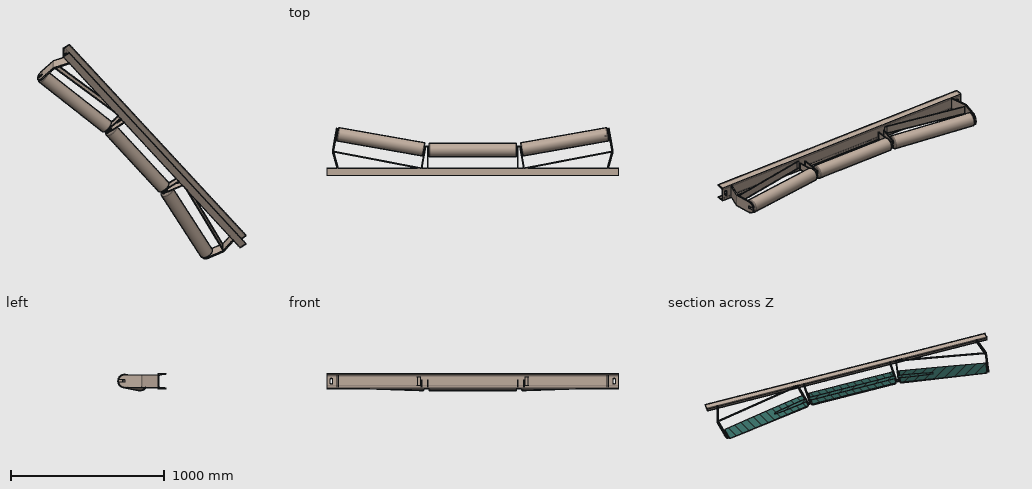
import cadquery as cq
import math

overall_height = 114.0

beam_length = 1900.0
beam_height = 100.0
beam_width = 50.0
web_thickness = 5.0
flange_root = 10.5
flange_tip = 6.6
root_radius = 8.0
tip_radius = 4.0
mount_slot_width = 15.0
mount_slot_height = 36.0
mount_slot_inset = 28.0

roller_diameter = 90.0
roller_length = 570.0
roller_edge_radius = 5.0
shaft_diameter = 17.0
end_gap = 4.8
trough_angle = 10.0
forward_tilt = 2.0
center_axis_y = 167.0
axis_z = beam_height / 2 + roller_diameter / 2 - overall_height
side_inner_x = 320.0
side_inner_y = 171.0

outer_height = 82.0
inner_height = 51.0
inner_thickness = 5.0
outer_thickness = 10.0
brace_thickness = 5.0
brace_height = 55.0
bridge_y = 190.0
outer_bend_y = 158.0
round_end_setback = 4.0
outer_base_x = 880.0
brace_base_x = 344.0

cos_trough = math.cos(math.radians(trough_angle))
sin_trough = math.sin(math.radians(trough_angle))
cos_tilt = math.cos(math.radians(forward_tilt))
sin_tilt = math.sin(math.radians(forward_tilt))
inner_leg_offset = end_gap + inner_thickness / 2
outer_leg_offset = end_gap + outer_thickness / 2
shaft_inner_reach = end_gap + inner_thickness
shaft_outer_reach = end_gap + outer_thickness


def side_point(along, back, side):
    """Plan point measured from a side roller's inner end, along its axis and square to it."""
    x = side_inner_x + along * cos_trough - back * sin_trough
    y = side_inner_y + along * sin_trough + back * cos_trough
    return (side * x, y)


def side_point_at_y(along, y, side):
    """Plan point on the line square to a side roller's axis, where that line reaches y."""
    back = (y - side_inner_y - along * sin_trough) / cos_trough
    return side_point(along, back, side)


def side_axis_plane(side):
    """Plane square to a side roller's tilted axis, at the roller's inner end."""
    return cq.Plane(
        origin=(side * side_inner_x, side_inner_y, axis_z),
        xDir=(-side * sin_trough, cos_trough, 0),
        normal=(side * cos_trough * cos_tilt, sin_trough * cos_tilt, sin_tilt),
    )


def center_axis_plane():
    """Plane square to the centre roller's axis, at the roller's left end."""
    return cq.Plane(origin=(-roller_length / 2, center_axis_y, axis_z), xDir=(0, 1, 0), normal=(1, 0, 0))


def make_wall(start, end, thickness, height, middle_z=0.0):
    """Upright plate with rounded edges between two plan points, centred in height on middle_z."""
    dx = end[0] - start[0]
    dy = end[1] - start[1]
    middle = ((start[0] + end[0]) / 2, (start[1] + end[1]) / 2, middle_z - height / 2)
    return (
        cq.Workplane("XY", origin=middle)
        .slot2D(math.hypot(dx, dy) + thickness, thickness, math.degrees(math.atan2(dy, dx)))
        .extrude(height)
    )


def make_beam():
    half_height = beam_height / 2
    web_face = beam_width - web_thickness
    beam = (
        cq.Workplane("YZ", origin=(-beam_length / 2, 0, 0))
        .moveTo(0, half_height)
        .lineTo(beam_width, half_height)
        .lineTo(beam_width, -half_height)
        .lineTo(0, -half_height)
        .lineTo(0, flange_tip - half_height)
        .lineTo(web_face, flange_root - half_height)
        .lineTo(web_face, half_height - flange_root)
        .lineTo(0, half_height - flange_tip)
        .close()
        .extrude(beam_length)
    )
    root_z = half_height - flange_root
    tip_z = half_height - flange_tip
    for inside in (1, -1):
        beam = beam.edges(cq.NearestToPointSelector((0, web_face, inside * root_z))).fillet(root_radius)
        beam = beam.edges(cq.NearestToPointSelector((0, 0, inside * tip_z))).fillet(tip_radius)
    slot_x = beam_length / 2 - mount_slot_inset
    slots = (
        cq.Workplane("XZ")
        .pushPoints([(-slot_x, 0), (slot_x, 0)])
        .slot2D(mount_slot_height, mount_slot_width, 90)
        .extrude(-beam_width)
    )
    return beam.cut(slots)


def make_inner_bracket(side):
    """Plate folded into a U: a straight leg for the centre roller, a slanted one for a side roller."""
    straight_x = side * (roller_length / 2 + inner_leg_offset)
    straight_back = (straight_x, bridge_y)
    slanted_back = side_point_at_y(-inner_leg_offset, bridge_y, side)
    slanted_base = side_point_at_y(-inner_leg_offset, beam_width, side)
    bracket = make_wall((straight_x, beam_width), straight_back, inner_thickness, inner_height, axis_z)
    bracket = bracket.union(make_wall(straight_back, slanted_back, inner_thickness, inner_height, axis_z))
    return bracket.union(make_wall(slanted_back, slanted_base, inner_thickness, inner_height, axis_z))


def make_outer_bracket(side):
    """Bent plate with a round end just short of the shaft axis, braced back to the beam."""
    along = roller_length + outer_leg_offset
    bend = side_point_at_y(along, outer_bend_y, side)
    leg_end = side_point(along, -round_end_setback, side)
    bracket = make_wall((side * outer_base_x, beam_width), bend, outer_thickness, outer_height)
    bracket = bracket.union(make_wall(bend, leg_end, outer_thickness, outer_height))
    round_end = cq.Solid.makeCylinder(
        outer_height / 2,
        outer_thickness,
        cq.Vector(*side_point(along - outer_thickness / 2, -round_end_setback, side), 0),
        cq.Vector(side * cos_trough, sin_trough, 0),
    )
    brace = make_wall((side * brace_base_x, beam_width), bend, brace_thickness, brace_height)
    return bracket.union(cq.Workplane(round_end)).union(brace)


def make_shaft(plane, start_reach, end_reach):
    length = start_reach + roller_length + end_reach
    return cq.Workplane(plane).workplane(offset=-start_reach).circle(shaft_diameter / 2).extrude(length)


def make_shaft_slot(plane, start_reach, end_reach):
    """Cutter for the slots that let a shaft drop into its two plates from the back."""
    length = start_reach + roller_length + end_reach
    opening = (
        cq.Workplane(plane)
        .workplane(offset=-start_reach)
        .center(roller_diameter / 2, 0)
        .rect(roller_diameter, shaft_diameter)
        .extrude(length)
    )
    return opening.union(make_shaft(plane, start_reach, end_reach))


def make_roller(plane):
    return (
        cq.Workplane(plane)
        .circle(roller_diameter / 2)
        .extrude(roller_length)
        .edges()
        .fillet(roller_edge_radius)
        .cut(make_shaft(plane, 0, 0))
    )


stations = [(center_axis_plane(), shaft_inner_reach, shaft_inner_reach)]
for side in (-1, 1):
    stations.append((side_axis_plane(side), shaft_inner_reach, shaft_outer_reach))

frame = make_beam()
for side in (-1, 1):
    frame = frame.union(make_inner_bracket(side)).union(make_outer_bracket(side))
for station in stations:
    frame = frame.cut(make_shaft_slot(*station))

rollers = [make_roller(plane).val() for plane, _, _ in stations]
shafts = [make_shaft(*station).val() for station in stations]

result = cq.Compound.makeCompound([frame.solids().val(), *rollers, *shafts])